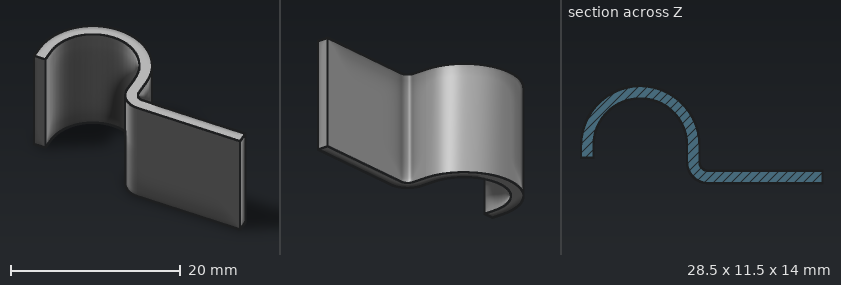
import cadquery as cq
import math

thickness = 1.5
width = 14.0
loop_inner_radius = 5.5
lip_length = 1.5
leg_length = 2.0
bend_inner_radius = 1.0
tab_length = 13.5

loop_outer_radius = loop_inner_radius + thickness
bend_outer_radius = bend_inner_radius + thickness
bend_center_x = loop_outer_radius + bend_inner_radius
bend_center_y = -leg_length
tab_end_x = bend_center_x + tab_length
tab_back_y = bend_center_y - bend_inner_radius
tab_front_y = bend_center_y - bend_outer_radius


def bend_midpoint(radius):
    """Middle point of the quarter-turn bend at the given radius."""
    offset = radius * math.sqrt(0.5)
    return (bend_center_x - offset, bend_center_y - offset)


def strip_profile():
    """Closed outline of the bent strip in the XY plane."""
    return (
        cq.Workplane("XY")
        .moveTo(-loop_outer_radius, -lip_length)
        .lineTo(-loop_outer_radius, 0)
        .threePointArc((0, loop_outer_radius), (loop_outer_radius, 0))
        .lineTo(loop_outer_radius, bend_center_y)
        .threePointArc(bend_midpoint(bend_inner_radius), (bend_center_x, tab_back_y))
        .lineTo(tab_end_x, tab_back_y)
        .lineTo(tab_end_x, tab_front_y)
        .lineTo(bend_center_x, tab_front_y)
        .threePointArc(bend_midpoint(bend_outer_radius), (loop_inner_radius, bend_center_y))
        .lineTo(loop_inner_radius, 0)
        .threePointArc((0, loop_inner_radius), (-loop_inner_radius, 0))
        .lineTo(-loop_inner_radius, -lip_length)
        .close()
    )


result = strip_profile().extrude(width)